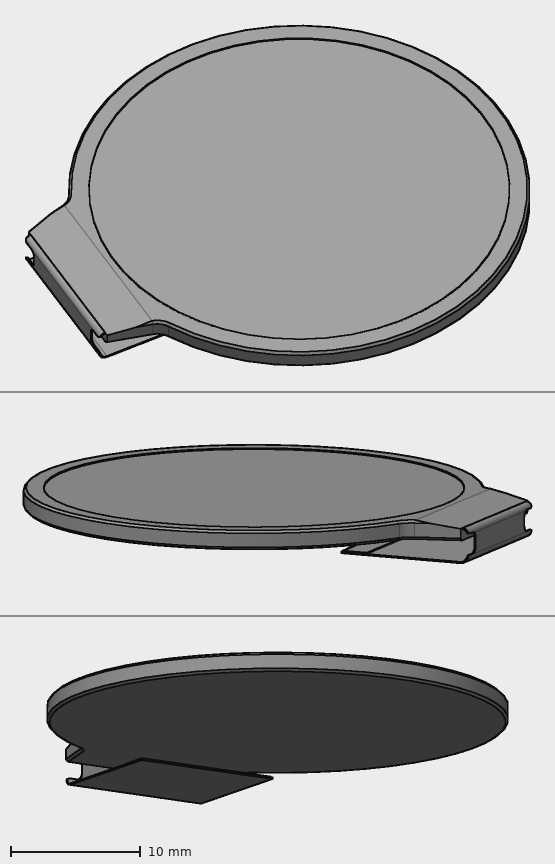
import cadquery as cq
import math


disc_radius = 17.76
disc_thickness = 1.5
rim_chamfer = 0.2
window_diameter = 32.4
window_depth = 0.1
tab_end_y = -20.28
tab_end_half_width = 6.33
tab_side_angle = 15.0
neck_fillet = 1.5
slope_start_y = -16.75
slope_drop = 0.55

flex_thickness = 0.12
flex_width = 12.0
flex_front_y = -20.77
flex_tail_y = -10.03
flex_top_z = -0.53
flex_bottom_z = -3.32
upper_bend_radius = 0.48
lower_bend_radius = 0.65
waist_width = 9.15
waist_fillet = 0.5
shoulder_fillet = 0.3
stiffener_length = 2.05
stiffener_inset = 0.1
stiffener_thickness = 0.08

arc_mid = 1 - math.sqrt(0.5)


def make_housing():
    """Disc with a blended tab, chamfered rims, a sloped tab top and a shallow round recess."""
    outline_end_y = tab_end_y - 2 * rim_chamfer
    tab_root_y = -disc_radius / 2
    taper = math.tan(math.radians(tab_side_angle))
    outline_end_half_width = tab_end_half_width - (tab_end_y - outline_end_y) * taper
    tab_root_half_width = tab_end_half_width + (tab_root_y - tab_end_y) * taper

    base = cq.Workplane("XY", origin=(0, 0, -disc_thickness))
    disc = base.circle(disc_radius).extrude(disc_thickness)
    tab = (
        base.moveTo(-outline_end_half_width, outline_end_y)
        .lineTo(outline_end_half_width, outline_end_y)
        .lineTo(tab_root_half_width, tab_root_y)
        .lineTo(-tab_root_half_width, tab_root_y)
        .close()
        .extrude(disc_thickness)
    )
    body = disc.union(tab)

    neck_band = cq.selectors.BoxSelector(
        (-disc_radius, slope_start_y, -disc_thickness),
        (disc_radius, tab_root_y, 0),
    )
    body = body.edges("|Z").edges(neck_band).fillet(neck_fillet)
    body = body.faces("<Z or >Z").edges().chamfer(rim_chamfer)

    trim = (
        cq.Workplane("YZ")
        .moveTo(slope_start_y, 0)
        .lineTo(tab_end_y, -slope_drop)
        .lineTo(tab_end_y, -2 * disc_thickness)
        .lineTo(2 * outline_end_y, -2 * disc_thickness)
        .lineTo(2 * outline_end_y, disc_thickness)
        .lineTo(slope_start_y, disc_thickness)
        .close()
        .extrude(disc_radius, both=True)
    )
    window = cq.Workplane("XY").circle(window_diameter / 2).extrude(-window_depth)
    return body.cut(trim).cut(window)


def make_waist_notch(side):
    """Side notch that narrows the upright part of the strip; side is -1 or +1 along X."""
    top_z = flex_top_z - upper_bend_radius
    bottom_z = flex_bottom_z + lower_bend_radius
    edge_x = side * flex_width / 2
    waist_x = side * waist_width / 2
    shoulder_x = edge_x - side * shoulder_fillet
    outer_x = edge_x + side * shoulder_fillet
    corner_x = waist_x + side * waist_fillet
    shoulder_mid = shoulder_fillet * arc_mid
    waist_mid = waist_fillet * arc_mid
    return (
        cq.Workplane("XZ", origin=(0, tab_end_y, 0))
        .moveTo(outer_x, top_z + shoulder_fillet)
        .lineTo(edge_x, top_z + shoulder_fillet)
        .threePointArc((edge_x - side * shoulder_mid, top_z + shoulder_mid), (shoulder_x, top_z))
        .lineTo(corner_x, top_z)
        .threePointArc((waist_x + side * waist_mid, top_z - waist_mid), (waist_x, top_z - waist_fillet))
        .lineTo(waist_x, bottom_z + waist_fillet)
        .threePointArc((waist_x + side * waist_mid, bottom_z + waist_mid), (corner_x, bottom_z))
        .lineTo(shoulder_x, bottom_z)
        .threePointArc((edge_x - side * shoulder_mid, bottom_z - shoulder_mid),
                       (edge_x, bottom_z - shoulder_fillet))
        .lineTo(outer_x, bottom_z - shoulder_fillet)
        .close()
        .extrude(2 * (tab_end_y - flex_front_y))
    )


def make_flex_strip():
    """Strip bent down from the tab and back under the disc, with a thicker tail."""
    centre_offset = flex_thickness / 2
    upper_radius = upper_bend_radius - centre_offset
    lower_radius = lower_bend_radius - centre_offset
    centre_top_z = flex_top_z - centre_offset
    centre_bottom_z = flex_bottom_z + centre_offset
    centre_front_y = flex_front_y + centre_offset

    centre_line = (
        cq.Workplane("YZ")
        .moveTo(tab_end_y, centre_top_z)
        .lineTo(centre_front_y + upper_radius, centre_top_z)
        .threePointArc(
            (centre_front_y + upper_radius * arc_mid, centre_top_z - upper_radius * arc_mid),
            (centre_front_y, centre_top_z - upper_radius),
        )
        .lineTo(centre_front_y, centre_bottom_z + lower_radius)
        .threePointArc(
            (centre_front_y + lower_radius * arc_mid, centre_bottom_z + lower_radius * arc_mid),
            (centre_front_y + lower_radius, centre_bottom_z),
        )
        .lineTo(flex_tail_y, centre_bottom_z)
    )
    strip = (
        cq.Workplane("XZ", origin=(0, tab_end_y, centre_top_z))
        .rect(flex_width, flex_thickness)
        .sweep(centre_line)
    )
    stiffener_centre_y = flex_tail_y - stiffener_inset - stiffener_length / 2
    stiffener = (
        cq.Workplane("XY", origin=(0, stiffener_centre_y, flex_bottom_z + flex_thickness))
        .rect(flex_width - 2 * stiffener_inset, stiffener_length)
        .extrude(stiffener_thickness)
    )
    strip = strip.union(stiffener)
    for side in (-1, 1):
        strip = strip.cut(make_waist_notch(side))
    return strip


housing = make_housing()
flex_strip = make_flex_strip()

result = cq.Compound.makeCompound([housing.val(), flex_strip.val()])